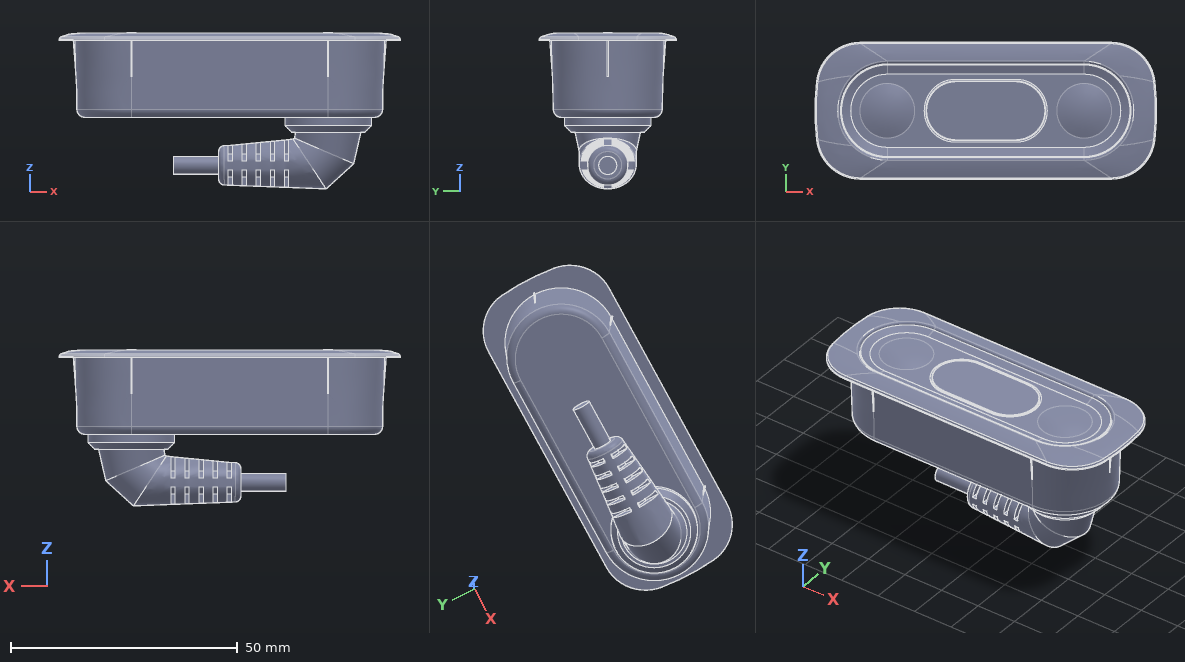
import cadquery as cq
import math


end_center_x = 21.7

bezel_length = 75.3
bezel_width = 30.2
bezel_corner_radius = 9.8
bezel_corner_start = 6.5
rim_edge_height = 0.3
rim_bevel_height = 0.45
rim_bevel_inset = 0.3
bezel_height = 1.65
crown_rise_share = 0.7
opening_radius = 10.3
opening_lip_fillet = 0.6
opening_top_radius = opening_radius + opening_lip_fillet
opening_arc_split = 45.0

tray_gap = 0.2
tray_radius = opening_radius - tray_gap
tray_rim_z = 1.3
tray_floor_radius = 8.05
tray_floor_z = 0.6
tray_bottom_z = -1.5
dome_radius = 6.0
dome_top_z = 1.7

pad_seat_radius = 6.9
pad_radius = 6.55
pad_gap = 0.15
pad_center_x = 6.6
pad_seat_depth = 0.15
pad_recess_depth = 0.9

housing_top_radius = 12.4
housing_bottom_radius = 12.0
housing_height = 17.0
housing_fillet = 1.9
rib_width = 0.2
rib_reach = 12.8 - housing_top_radius
rib_height = 8.0

collar_radius = 9.6
collar_height = 3.25
collar_chamfer = 1.5
neck_radius = 7.2
miter_half_width = 6.3
upper_miter = ((14.2, -21.55), (27.35, -27.2))
lower_miter = ((13.9, -21.7), (21.25, -32.8))
boot_axis_z = -27.6
boot_end_x = -2.5
boot_end_radius = 4.3
boot_end_fillet = 1.35
groove_count = 5
groove_width = 1.0
groove_pitch = 3.1
first_groove_x = 0.15
groove_core_radius = 2.7
strut_width = 1.95

cable_diameter = 4.0
cable_end_x = -12.4


def stadium(center_x, radius, z):
    """Stadium outline at height z, with end arcs centred at +-center_x."""
    return cq.Workplane("XY", origin=(0, 0, z)).slot2D(2 * (center_x + radius), 2 * radius)


def stadium_frustum(center_x, bottom_radius, bottom_z, top_radius, top_z):
    """Stadium-shaped body whose sides lean evenly from one outline to the other."""
    return (
        stadium(center_x, bottom_radius, bottom_z)
        .workplane(offset=top_z - bottom_z)
        .slot2D(2 * (center_x + top_radius), 2 * top_radius)
        .loft(ruled=True)
    )


def rounded_wire(z, half_width, corner_x, corner_radius, corner_start):
    """Closed outline with straight sides, round corners and bowed ends, all meeting smoothly.

    corner_start is the angle from X at which the bowed end runs into the corner arc.
    """
    start = math.radians(corner_start)
    middle = (start + math.pi / 2) / 2
    corner_y = half_width - corner_radius
    end_x = corner_x + corner_radius + corner_y * math.tan(start / 2)

    def on_corner(angle):
        return corner_x + corner_radius * math.cos(angle), corner_y + corner_radius * math.sin(angle)

    mid_x, mid_y = on_corner(middle)
    bow_x, bow_y = on_corner(start)
    return (
        cq.Workplane("XY", origin=(0, 0, z))
        .moveTo(-corner_x, half_width)
        .lineTo(corner_x, half_width)
        .threePointArc((mid_x, mid_y), (bow_x, bow_y))
        .threePointArc((end_x, 0), (bow_x, -bow_y))
        .threePointArc((mid_x, -mid_y), (corner_x, -half_width))
        .lineTo(-corner_x, -half_width)
        .threePointArc((-mid_x, -mid_y), (-bow_x, -bow_y))
        .threePointArc((-end_x, 0), (-bow_x, bow_y))
        .threePointArc((-mid_x, mid_y), (-corner_x, half_width))
        .close()
        .val()
    )


def make_bezel():
    half_width = bezel_width / 2
    bow = (half_width - bezel_corner_radius) * math.tan(math.radians(bezel_corner_start) / 2)
    corner_x = bezel_length / 2 - bezel_corner_radius - bow

    def rim_wire(z, inset):
        return rounded_wire(
            z, half_width - inset, corner_x, bezel_corner_radius - inset, bezel_corner_start
        )

    crown_z = rim_edge_height + rim_bevel_height
    rim_wires = [
        rim_wire(0, 0),
        rim_wire(rim_edge_height, 0),
        rim_wire(crown_z, rim_bevel_inset),
    ]
    rim = cq.Workplane(cq.Solid.makeLoft(rim_wires, True))

    def crown_wire(share, rise_share):
        """Outline at a share of the way from the rim to the opening."""
        def blend(outer, inner):
            return outer + share * (inner - outer)

        return rounded_wire(
            crown_z + rise_share * (bezel_height - crown_z),
            blend(half_width - rim_bevel_inset, opening_top_radius),
            blend(corner_x, end_center_x),
            blend(bezel_corner_radius - rim_bevel_inset, opening_top_radius),
            blend(bezel_corner_start, opening_arc_split),
        )

    crown_wires = [crown_wire(0, 0), crown_wire(0.5, crown_rise_share), crown_wire(1, 1)]
    crown = cq.Workplane(cq.Solid.makeLoft(crown_wires, False))

    opening = stadium(end_center_x, opening_radius, 0).extrude(bezel_height)
    lip_ring = (
        stadium(end_center_x, opening_top_radius + opening_lip_fillet, 0)
        .extrude(bezel_height)
        .cut(opening)
        .faces(">Z")
        .edges(cq.selectors.RadiusNthSelector(0))
        .fillet(opening_lip_fillet)
    )
    lip_zone = stadium(end_center_x, opening_top_radius, 0).extrude(bezel_height)
    return rim.union(crown).cut(lip_zone).union(lip_ring.intersect(lip_zone))


def make_tray():
    plate = stadium(end_center_x, tray_radius, tray_bottom_z).extrude(tray_rim_z - tray_bottom_z)
    dish = stadium_frustum(end_center_x, tray_floor_radius, tray_floor_z, tray_radius, tray_rim_z)
    tray = plate.cut(dish)

    dome_rise = dome_top_z - tray_floor_z
    sphere_radius = (dome_radius**2 + dome_rise**2) / (2 * dome_rise)
    dome = (
        cq.Workplane("XZ")
        .moveTo(0, tray_floor_z)
        .lineTo(dome_radius, tray_floor_z)
        .radiusArc((0, dome_top_z), -sphere_radius)
        .close()
        .revolve(360, (0, 0), (0, 1))
    )
    for side in (-1, 1):
        tray = tray.union(dome.translate((side * end_center_x, 0, 0)))

    seat = stadium(pad_center_x, pad_seat_radius, tray_floor_z).extrude(-pad_seat_depth)
    recess = stadium(pad_center_x, pad_radius, tray_floor_z).extrude(-pad_recess_depth)
    return tray.cut(seat).cut(recess)


def make_pad():
    bottom_z = tray_floor_z - pad_recess_depth
    return stadium(pad_center_x, pad_radius - pad_gap, bottom_z).extrude(pad_recess_depth)


def make_rib():
    """Rib standing on a wall that faces +X at x = 0, wedge-shaped to nothing at its foot."""
    draft = (housing_top_radius - housing_bottom_radius) / housing_height
    foot_x = -draft * rib_height
    root_x = -2 * rib_reach
    return (
        cq.Workplane("XZ")
        .polyline([(root_x, 0), (rib_reach, 0), (foot_x, -rib_height), (root_x, -rib_height)])
        .close()
        .extrude(rib_width / 2, both=True)
    )


def make_housing():
    housing = stadium_frustum(
        end_center_x, housing_bottom_radius, -housing_height, housing_top_radius, 0
    )
    housing = housing.faces("<Z").edges().fillet(housing_fillet)

    rib = make_rib()
    for side in (-1, 1):
        facing_x = rib.translate((end_center_x + housing_top_radius, 0, 0))
        housing = housing.union(facing_x.rotate((0, 0, 0), (0, 0, 1), 90 - 90 * side))
        for x in (-end_center_x, end_center_x):
            facing_y = rib.rotate((0, 0, 0), (0, 0, 1), 90 * side)
            housing = housing.union(facing_y.translate((x, side * housing_top_radius, 0)))

    tray_pocket = stadium(end_center_x, tray_radius, tray_bottom_z).extrude(-tray_bottom_z)
    return housing.cut(tray_pocket)


def miter_wire(inner, outer):
    """Elliptical elbow section spanning from its inner to its outer (x, z) point."""
    across = cq.Vector(outer[0] - inner[0], 0, outer[1] - inner[1])
    center = cq.Vector((inner[0] + outer[0]) / 2, 0, (inner[1] + outer[1]) / 2)
    normal = across.cross(cq.Vector(0, 1, 0))
    return cq.Wire.makeEllipse(across.Length / 2, miter_half_width, center, normal, across)


def circle_wire(radius, center, normal, across):
    return cq.Wire.makeEllipse(
        radius, radius, cq.Vector(*center), cq.Vector(*normal), cq.Vector(*across)
    )


def make_grooves():
    """Five ring grooves, each interrupted by four struts left between core and skin."""
    reach = 2 * boot_end_radius
    slab = (
        cq.Workplane("YZ", origin=(-groove_width / 2, 0, boot_axis_z))
        .circle(reach)
        .circle(groove_core_radius)
        .extrude(groove_width)
    )
    across = cq.Workplane("XY").box(2 * groove_width, 2 * reach, strut_width)
    upright = cq.Workplane("XY").box(2 * groove_width, strut_width, 2 * reach)
    struts = across.union(upright).translate((0, 0, boot_axis_z))
    groove = slab.cut(struts)
    return [
        groove.translate((first_groove_x + index * groove_pitch, 0, 0))
        for index in range(groove_count)
    ]


def make_boot():
    collar_bottom_z = -housing_height - collar_height
    collar = (
        cq.Workplane("XY", origin=(end_center_x, 0, collar_bottom_z))
        .circle(collar_radius)
        .extrude(collar_height)
        .faces("<Z")
        .chamfer(collar_chamfer)
    )
    sections = [
        circle_wire(neck_radius, (end_center_x, 0, collar_bottom_z), (0, 0, -1), (1, 0, 0)),
        miter_wire(*upper_miter),
        miter_wire(*lower_miter),
        circle_wire(boot_end_radius, (boot_end_x, 0, boot_axis_z), (-1, 0, 0), (0, 0, -1)),
    ]
    elbow = cq.Workplane(cq.Solid.makeLoft(sections, True))
    elbow = elbow.faces("<X").edges().fillet(boot_end_fillet)
    for groove in make_grooves():
        elbow = elbow.cut(groove)
    return collar.union(elbow)


def make_cable():
    return (
        cq.Workplane("YZ", origin=(cable_end_x, 0, boot_axis_z))
        .circle(cable_diameter / 2)
        .extrude(boot_end_x - cable_end_x)
    )


bezel = make_bezel()
tray = make_tray()
pad = make_pad()
housing = make_housing()
boot = make_boot()
cable = make_cable()

result = cq.Compound.makeCompound(
    [bezel.val(), tray.val(), pad.val(), housing.val(), boot.val(), cable.val()]
)